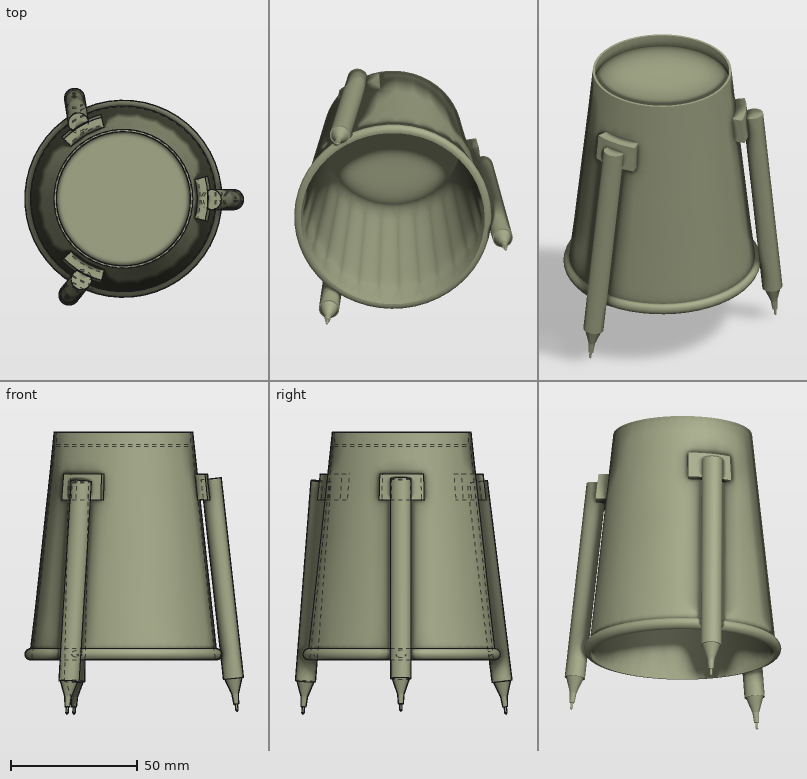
import cadquery as cq
import math

cup_top = 111.7
cup_bottom = 21.6
top_radius = 27.5
taper_angle = 6.2
taper = math.tan(math.radians(taper_angle))
inner_top_radius = 53.2 / 2
wall = top_radius - inner_top_radius
recess_depth = 4.9
recess_floor_radius = 53.0 / 2
floor_thickness = wall

lip_tube_radius = 2.2

pad_count = 3
pad_top = 95.1
pad_height = 10.2
pad_top_radius = 33.4
pad_angle = 30.0

pen_length = 92.7
body_radius = 8.0 / 2
nib_radius = 1.0 / 2
nib_point_length = 0.7
nib_length = 3.0
sleeve_length = 4.0
sleeve_small_radius = 1.0
sleeve_large_radius = 1.3
cone_length = 6.1
cone_radius = 3.5

pen_axes = [
    ((45.0, -0.3, 1.1), (34.7, -0.3, 93.4)),
    ((-19.5, 41.3, 0.0), (-17.8, 29.9, 92.2)),
    ((-22.3, -39.1, 0.0), (-16.6, -32.0, 92.2)),
]


def cone_outer_radius(z):
    """Outer radius of the tapered cup wall at height z."""
    return top_radius + taper * (cup_top - z)


def make_shell():
    """Tapered wall with a recessed closed end, open at the rolled lip."""
    floor_top = cup_top - recess_depth
    floor_bottom = floor_top - floor_thickness
    lip_top = cup_bottom + 2 * lip_tube_radius
    lip_center_radius = cone_outer_radius(lip_top)
    lip_outer_radius = lip_center_radius + lip_tube_radius
    return (
        cq.Workplane("XZ")
        .moveTo(0, floor_top)
        .lineTo(recess_floor_radius, floor_top)
        .lineTo(inner_top_radius, cup_top)
        .lineTo(top_radius, cup_top)
        .lineTo(lip_center_radius, lip_top)
        .threePointArc((lip_outer_radius, cup_bottom + lip_tube_radius), (lip_center_radius, cup_bottom))
        .lineTo(cone_outer_radius(cup_bottom) - wall, cup_bottom)
        .lineTo(cone_outer_radius(floor_bottom) - wall, floor_bottom)
        .lineTo(0, floor_bottom)
        .close()
        .revolve(360, (0, 0), (0, 1))
    )


def make_pad(angle):
    """Tapered sector raised from the cup wall, centred on the given angle."""
    pad_bottom = pad_top - pad_height
    pad_bottom_radius = pad_top_radius + taper * pad_height
    embed = wall / 2
    sector = (
        cq.Workplane("XZ")
        .moveTo(cone_outer_radius(pad_top) - embed, pad_top)
        .lineTo(pad_top_radius, pad_top)
        .lineTo(pad_bottom_radius, pad_bottom)
        .lineTo(cone_outer_radius(pad_bottom) - embed, pad_bottom)
        .close()
        .revolve(pad_angle, (0, 0), (0, 1))
    )
    return sector.rotate((0, 0, 0), (0, 0, 1), angle - pad_angle / 2)


def make_pen(nib_end, axis_point):
    """Pen revolved about its own axis, from the nib up to the flat top."""
    axis = cq.Vector(*axis_point) - cq.Vector(*nib_end)
    cone_start = nib_length + sleeve_length
    body_start = cone_start + cone_length
    plane = cq.Plane(origin=nib_end, normal=axis)
    profile = (
        cq.Workplane("XZ")
        .polyline([
            (0, 0),
            (nib_radius, nib_point_length),
            (nib_radius, nib_length),
            (sleeve_small_radius, nib_length),
            (sleeve_large_radius, cone_start),
            (cone_radius, body_start),
            (body_radius, body_start),
            (body_radius, pen_length),
            (0, pen_length),
        ])
        .close()
        .revolve(360, (0, 0), (0, 1))
    )
    return cq.Workplane(profile.val().moved(cq.Location(plane)))


pens = [make_pen(nib_end, axis_point) for nib_end, axis_point in pen_axes]

cup = make_shell()
for index in range(pad_count):
    cup = cup.union(make_pad(index * 360 / pad_count))
for pen in pens:
    cup = cup.cut(pen)

result = cq.Compound.makeCompound([cup.val(), *[pen.val() for pen in pens]])